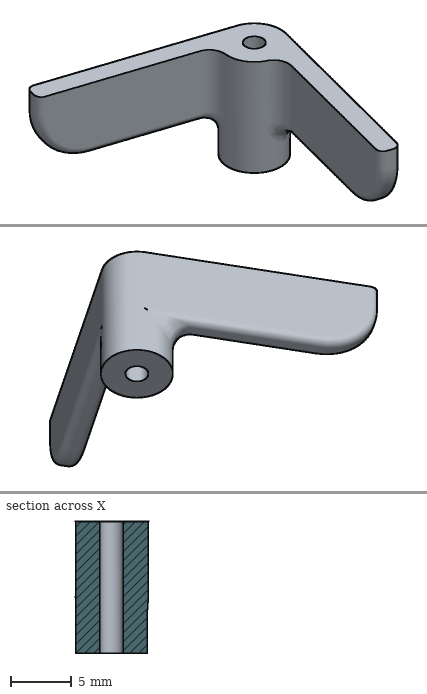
import cadquery as cq
import math

span = 23.0
height = 11.0
boss_diameter = 6.0
hole_diameter = 1.9
arm_thickness = 2.0
arm_height = 7.0
arm_tip_radius = 5.0
arm_edge_radius = 0.71
junction_radius = 1.65

boss_radius = boss_diameter / 2
arm_length = span - boss_radius
arm_bottom = height - arm_height
seam_angle = 135


def make_arm():
    """Arm along +X, with a rounded lower tip and softened edges except on top."""
    arm = (
        cq.Workplane("XY")
        .box(arm_length, arm_thickness, arm_height, centered=False)
        .translate((0, boss_radius - arm_thickness, arm_bottom))
        .edges(">X and <Z")
        .fillet(arm_tip_radius)
    )
    return arm.faces("<Y or >Y").edges("<Z").fillet(arm_edge_radius)


def make_boss():
    """Upright cylinder with its seam turned away from both arms."""
    return cq.Workplane("XY").circle(boss_radius).extrude(height).rotate((0, 0, 0), (0, 0, 1), seam_angle)


def make_half():
    """Boss with one arm, blended where the arm runs into the boss wall."""
    half = make_boss().union(make_arm())
    arm_center_y = boss_radius - arm_thickness / 2
    arc_center_x = math.sqrt(boss_radius**2 - arm_center_y**2)
    arc_center = (arc_center_x, arm_center_y, arm_bottom)
    underside_arc = half.edges(cq.selectors.NearestToPointSelector(arc_center))
    return underside_arc.fillet(junction_radius)


def mirror_to_second_arm(half):
    """Mirror across the vertical plane y = -x, so the arm along +X runs along -Y."""
    return half.mirror("XZ").rotate((0, 0, 0), (0, 0, 1), -90)


half = make_half()
hole = cq.Workplane("XY").circle(hole_diameter / 2).extrude(height)
result = half.union(mirror_to_second_arm(half)).cut(hole)